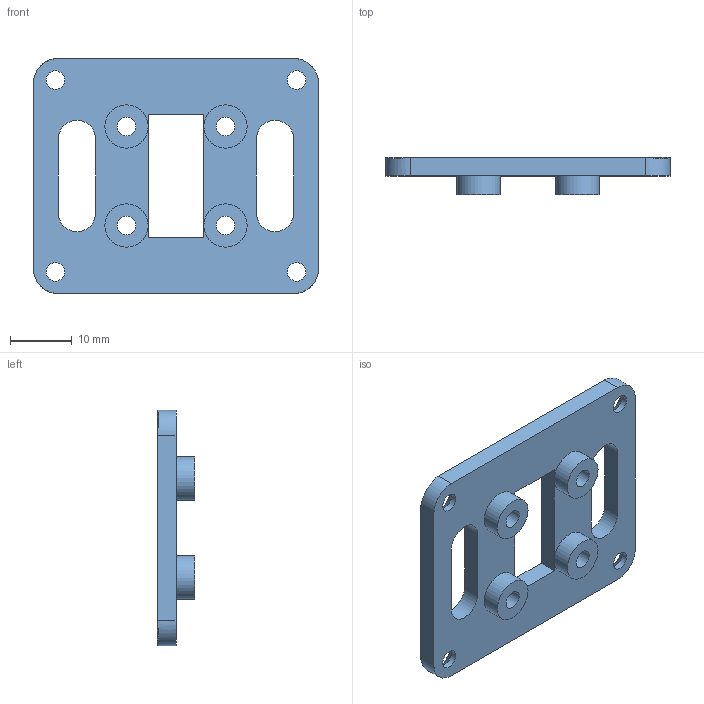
import cadquery as cq
import math

plate_width = 46.0
plate_height = 38.0
plate_thickness = 3.0
corner_radius = 4.0

hole_diameter = 3.0
hole_inset = 3.5
mount_spacing_x = plate_width - 2 * hole_inset
mount_spacing_z = plate_height - 2 * hole_inset

countersink_diameter = 7.0
countersink_half_angle = 45.0
countersink_depth = (countersink_diameter - hole_diameter) / 2 / math.tan(math.radians(countersink_half_angle))

standoff_diameter = 7.0
standoff_height = 3.0
standoff_spacing = 16.0

window_width = standoff_spacing - standoff_diameter
window_height = 20.0

slot_width = 6.0
slot_length = 18.0
slot_spacing = 32.0


def front_plane(offset=0.0):
    """Sketch plane facing -Y, the given distance in front of the plate face."""
    return cq.Workplane("XZ").workplane(offset=offset)


def make_plate():
    plate = front_plane(-plate_thickness).rect(plate_width, plate_height).extrude(plate_thickness)
    return plate.edges("|Y").fillet(corner_radius)


def make_standoffs():
    centres = front_plane().rarray(standoff_spacing, standoff_spacing, 2, 2)
    return centres.circle(standoff_diameter / 2).extrude(standoff_height)


def make_through_holes(spacing_x, spacing_z):
    """Cutters for a 2 x 2 hole pattern through the plate and standoffs."""
    centres = front_plane(-plate_thickness).rarray(spacing_x, spacing_z, 2, 2)
    return centres.circle(hole_diameter / 2).extrude(plate_thickness + standoff_height)


def make_countersinks():
    """Cones that open from the hole diameter to the countersink diameter at the back face."""
    rims = front_plane(-plate_thickness).rarray(mount_spacing_x, mount_spacing_z, 2, 2)
    profile = rims.circle(countersink_diameter / 2)
    return profile.extrude(countersink_depth, taper=countersink_half_angle)


def make_window():
    return front_plane(-plate_thickness).rect(window_width, window_height).extrude(plate_thickness)


def make_slots():
    centres = front_plane(-plate_thickness).rarray(slot_spacing, 1, 2, 1)
    return centres.slot2D(slot_length, slot_width, angle=90).extrude(plate_thickness)


result = (
    make_plate()
    .cut(make_window())
    .cut(make_slots())
    .union(make_standoffs())
    .cut(make_through_holes(mount_spacing_x, mount_spacing_z))
    .cut(make_countersinks())
    .cut(make_through_holes(standoff_spacing, standoff_spacing))
)